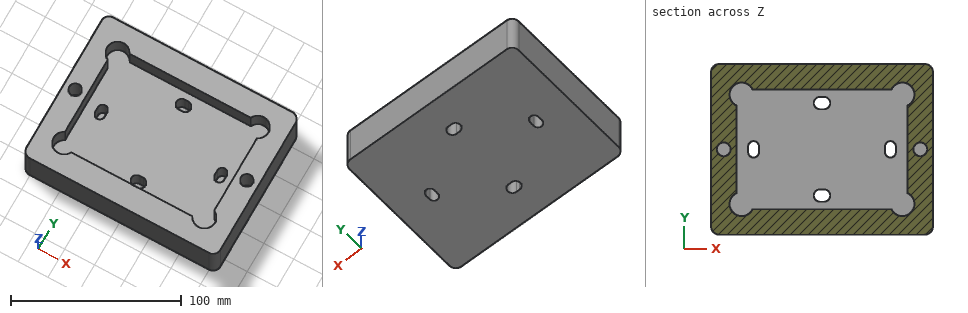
import cadquery as cq

length = 130.0
width = 100.0
height = 30.0
corner_radius = 5.0

pocket_length = 100.0
pocket_width = 70.0
floor_thickness = 15.0
relief_diameter = 14.0
relief_inset = 3.0

screw_diameter = 7.9
screw_depth = 20.0
screw_x = (length + pocket_length) / 4

slot_length = 9.5
end_slot_width = 6.2
side_slot_width = 7.0
end_slot_x = 40.0
side_slot_y = 27.0


def make_block():
    block = cq.Workplane("XY").box(length, width, height, centered=(True, True, False))
    return block.edges("|Z").fillet(corner_radius)


def make_pocket():
    depth = height - floor_thickness
    floor = cq.Workplane("XY").workplane(offset=floor_thickness)
    reliefs = (
        floor.rect(pocket_length - 2 * relief_inset, pocket_width - 2 * relief_inset, forConstruction=True)
        .vertices()
        .circle(relief_diameter / 2)
        .extrude(depth)
    )
    return floor.rect(pocket_length, pocket_width).extrude(depth).union(reliefs)


def make_screw_holes():
    return (
        cq.Workplane("XY")
        .workplane(offset=height - screw_depth)
        .pushPoints([(-screw_x, 0), (screw_x, 0)])
        .circle(screw_diameter / 2)
        .extrude(screw_depth)
    )


def make_slots(centres, slot_width, angle):
    return (
        cq.Workplane("XY")
        .pushPoints(centres)
        .slot2D(slot_length, slot_width, angle)
        .extrude(floor_thickness)
    )


end_slots = make_slots([(-end_slot_x, 0), (end_slot_x, 0)], end_slot_width, 90)
side_slots = make_slots([(0, -side_slot_y), (0, side_slot_y)], side_slot_width, 0)

result = make_block().cut(make_pocket()).cut(make_screw_holes()).cut(end_slots).cut(side_slots)